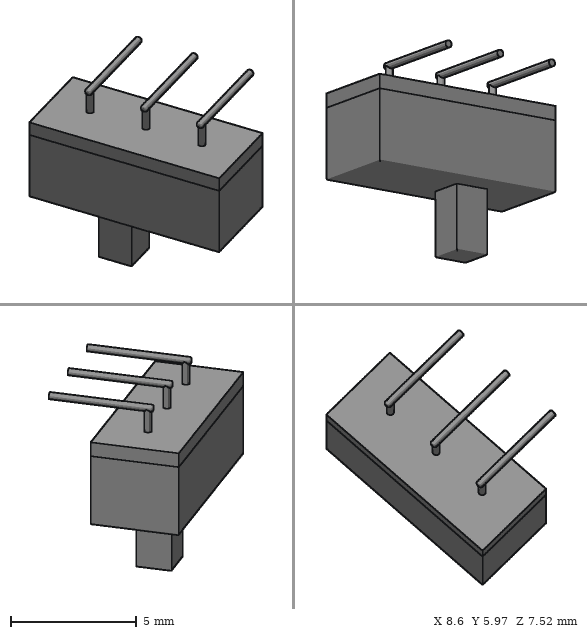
import cadquery as cq

total_height = 7.52
total_depth = 5.97

case_length = 8.6
case_depth = 3.7
case_height = 3.6
cover_height = 0.6
housing_height = case_height - cover_height

knob_width = 1.5
knob_height = 2.75
knob_offset = -1.0

edge_radius = 0.095

pin_count = 3
pin_pitch = 2.53
pin_diameter = 0.3
pin_radius = pin_diameter / 2
pin_top = total_height - case_height - knob_height
pin_axis_height = pin_top - pin_radius
pin_tail_end = total_depth - case_depth / 2
pin_bend_end = -0.22
pin_end_radius = 0.09


def make_cover():
    """Flat plate that closes the housing and carries the pins."""
    plate = cq.Workplane("XY").rect(case_length, case_depth)
    return plate.extrude(-cover_height)


def make_rounded_block(length, depth, height, center_x, top):
    """Block hanging down from the height top, with its lowest edges rounded."""
    block = (
        cq.Workplane("XY")
        .workplane(offset=top)
        .center(center_x, 0)
        .rect(length, depth)
        .extrude(-height)
    )
    return block.faces("<Z").edges().fillet(edge_radius)


def make_housing():
    """Housing block together with its knob."""
    block = make_rounded_block(case_length, case_depth, housing_height, 0, -cover_height)
    knob = make_rounded_block(knob_width, knob_width, knob_height, knob_offset, -case_height)
    return block.union(knob).solids().val()


def make_pin(center_x):
    """Upright leg on the cover and a level tail running toward +Y."""
    leg = cq.Workplane("XY").center(center_x, 0).circle(pin_radius).extrude(pin_axis_height)
    tail_plane = cq.Plane(
        origin=(center_x, pin_bend_end, pin_axis_height),
        xDir=(0, 0, 1),
        normal=(0, 1, 0),
    )
    tail = (
        cq.Workplane(tail_plane)
        .circle(pin_radius)
        .extrude(pin_tail_end - pin_bend_end)
        .faces("<Y")
        .edges()
        .fillet(pin_end_radius)
    )
    return leg.union(tail).solids().val()


cover = make_cover()
housing = make_housing()

pins = []
for index in range(pin_count):
    pin_x = (index - (pin_count - 1) / 2) * pin_pitch
    pins.append(make_pin(pin_x))

result = cq.Compound.makeCompound([cover.val(), housing, *pins])